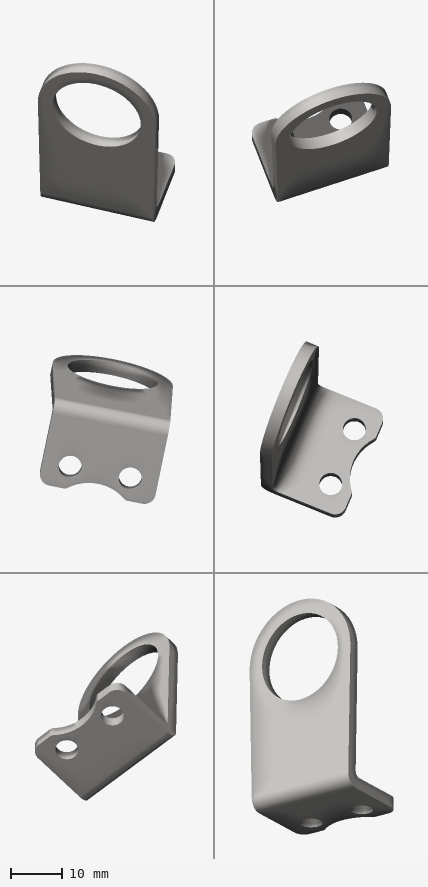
import cadquery as cq
import math

height = 41.5
depth = 17.0
thickness = 2.5
base_width = 23.0
bend_inner_radius = 1.25
bend_outer_radius = 2.5
ring_radius = 12.0
ring_bore_radius = 9.0
screw_hole_diameter = 4.5
screw_hole_spacing = 12.0
screw_hole_y = 12.5
corner_radius = 2.25
notch_depth = 2.25
notch_radius = 9.0
notch_edge_radius = 1.0

ring_center_z = height - ring_radius
half_base = base_width / 2


def bent_strip():
    """L-shaped strip with its outer front face on Y = 0 and its underside on Z = 0."""
    strip = (
        cq.Workplane("YZ")
        .polyline([(0, 0), (depth, 0), (depth, thickness), (thickness, thickness),
                   (thickness, height), (0, height)])
        .close()
        .extrude(ring_radius, both=True)
    )
    strip = strip.edges(cq.selectors.NearestToPointSelector((0, 0, 0))).fillet(bend_outer_radius)
    inner_corner = cq.selectors.NearestToPointSelector((0, thickness, thickness))
    return strip.edges(inner_corner).fillet(bend_inner_radius)


def front_outline():
    """Round-topped plate whose sides run tangent from the ring to the top of the bend."""
    rise = ring_center_z - thickness
    distance = math.hypot(half_base, rise)
    angle = math.atan2(-rise, half_base) + math.acos(ring_radius / distance)
    tangent_x = ring_radius * math.cos(angle)
    tangent_z = ring_center_z + ring_radius * math.sin(angle)
    return (
        cq.Workplane("XZ")
        .moveTo(-half_base, 0)
        .lineTo(half_base, 0)
        .lineTo(half_base, thickness)
        .lineTo(tangent_x, tangent_z)
        .threePointArc((0, height), (-tangent_x, tangent_z))
        .lineTo(-half_base, thickness)
        .close()
        .extrude(-depth)
    )


def notch():
    """Shallow arc in the rear edge, blended into that edge by a tangent arc on each side."""
    center_y = depth - notch_depth + notch_radius
    blend_y = depth - notch_edge_radius
    center_distance = notch_radius + notch_edge_radius
    blend_x = math.sqrt(center_distance**2 - (center_y - blend_y)**2)
    share = notch_radius / center_distance
    meet_x = blend_x * share
    meet_y = center_y + (blend_y - center_y) * share
    mid_angle = (math.pi / 2 + math.atan2(meet_y - blend_y, meet_x - blend_x)) / 2
    mid_x = blend_x + notch_edge_radius * math.cos(mid_angle)
    mid_y = blend_y + notch_edge_radius * math.sin(mid_angle)
    return (
        cq.Workplane("XY")
        .moveTo(-blend_x, depth)
        .threePointArc((-mid_x, mid_y), (-meet_x, meet_y))
        .threePointArc((0, depth - notch_depth), (meet_x, meet_y))
        .threePointArc((mid_x, mid_y), (blend_x, depth))
        .close()
        .extrude(thickness)
    )


bracket = bent_strip().intersect(front_outline())
bracket = bracket.edges("|Z and >Y").fillet(corner_radius)

ring_bore = (
    cq.Workplane("XZ")
    .center(0, ring_center_z)
    .circle(ring_bore_radius)
    .extrude(-thickness)
)
screw_holes = (
    cq.Workplane("XY")
    .pushPoints([(side * screw_hole_spacing / 2, screw_hole_y) for side in (-1, 1)])
    .circle(screw_hole_diameter / 2)
    .extrude(thickness)
)

result = bracket.cut(ring_bore).cut(screw_holes).cut(notch())